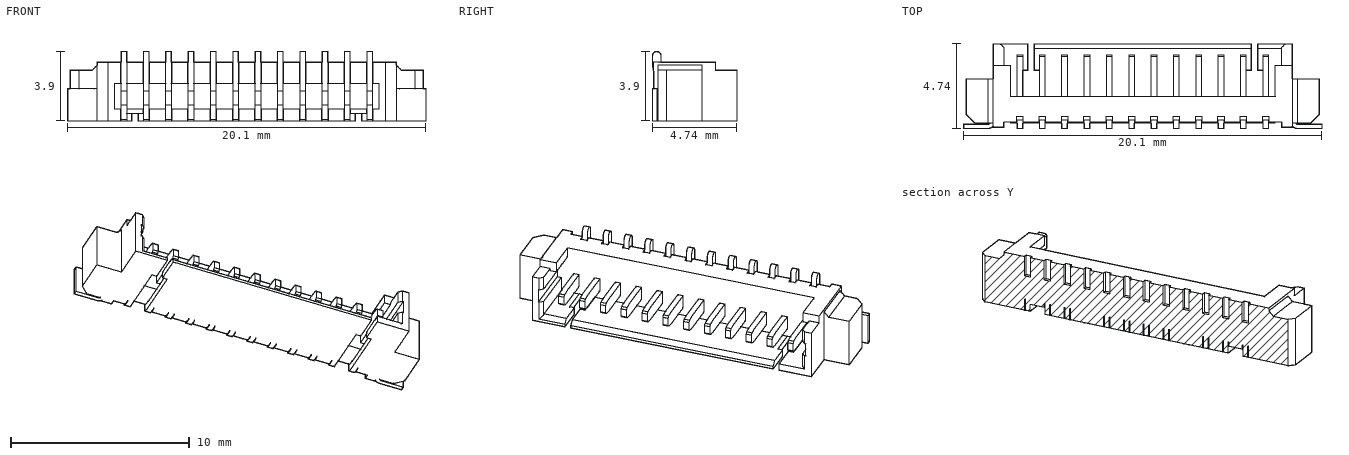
import cadquery as cq
import math

height = 3.9
depth = 4.74
overall_width = 20.05

housing_half_width = 8.37
housing_height = 3.3
housing_front = 0.36
wall_back = 1.8
cavity_half_width = 7.4
floor_thickness = 0.42

tall_wall_back = 3.54
low_wall_height = 2.85
low_wall_thickness = 0.6
low_wall_corner_chamfer = 0.2
low_wall_inside = housing_half_width - low_wall_thickness
tall_lip_bottom = 2.71
groove_bottom = 1.27
groove_top = 2.08
groove_depth = 0.25
corner_ridge_front = 0.07

band_half_width = cavity_half_width
band_front = 0.31
band_bottom = 0.67
band_top = 2.12
floor_edge_chamfer = 0.25

contact_count = 12
pitch = 1.25
contact_width = 0.32
head_back = 0.485
head_radius = head_back / 2
head_bottom = 3.1
neck_front = 0.17
neck_top = 2.22
beam_top = 1.69
beam_bottom = 0.9
beam_nose_radius = 0.11
beam_root_radius = 0.05
foot_chamfer = 0.1
slot_width = 0.37
slot_back = 0.67
prong_tip = 4.13
prong_tip_chamfer = 0.1
prong_taper_start = 3.66
prong_taper_drop = 0.06

opening_centre = (contact_count / 2 - 1) * pitch
window_width = pitch - contact_width
window_back = 3.26
gap_width = 0.35

wing_half_width = 9.88
wing_front = 0.31
wing_back = 2.78
wing_height = 2.85
wing_corner_chamfer = 0.48
wing_root_chamfer = 0.28
wing_root_overlap = 0.2

tab_height = 1.82
tab_thickness = 0.25
tab_bend_start = 8.67
tab_bend_radius = 0.4


def box(x_min, x_max, y_min, y_max, z_min, z_max):
    size = (x_max - x_min, y_max - y_min, z_max - z_min)
    return cq.Workplane("XY").box(*size, centered=False).translate((x_min, y_min, z_min))


def both_sides(solid):
    """The solid on the -X side together with its mirror image."""
    return solid.union(solid.mirror("YZ"))


def make_floor_edge_cut():
    """Rear edge chamfer of the floor, from the -X gap to the +X low wall and under its corner."""
    start = -opening_centre + gap_width / 2
    end = low_wall_inside + low_wall_corner_chamfer
    return (
        cq.Workplane("YZ", origin=(start, 0, 0))
        .moveTo(depth - floor_edge_chamfer, floor_thickness)
        .lineTo(depth, floor_thickness)
        .lineTo(depth, floor_thickness - floor_edge_chamfer)
        .close()
        .extrude(end - start)
    )


def make_housing_core():
    """Front wall with its raised band, and the floor with its chamfered rear edge."""
    wall = box(-housing_half_width, housing_half_width, housing_front, wall_back, 0, housing_height)
    band = box(-band_half_width, band_half_width, band_front, wall_back, band_bottom, band_top)
    floor = box(-housing_half_width, housing_half_width, housing_front, depth, 0, floor_thickness)
    return wall.union(band).union(floor.cut(make_floor_edge_cut()))


def make_side_walls():
    upper = box(-housing_half_width, -low_wall_inside, wall_back, tall_wall_back, 0, housing_height)
    lip = box(-low_wall_inside, -cavity_half_width, wall_back, tall_wall_back, tall_lip_bottom, housing_height)
    lower = box(-housing_half_width, -low_wall_inside, wall_back, depth, 0, low_wall_height)
    lower = lower.edges("|Z and >X and >Y").chamfer(low_wall_corner_chamfer)
    groove_inside = low_wall_inside + groove_depth
    groove = box(-groove_inside, -low_wall_inside, wall_back, depth, groove_bottom, groove_top)
    ridge = box(-housing_half_width, -low_wall_inside, corner_ridge_front, wall_back, 0, housing_height)
    return both_sides(upper.union(lower).cut(groove).union(lip).union(ridge))


def make_floor_openings():
    window = box(-window_width / 2, window_width / 2, 0, window_back, 0, floor_thickness)
    gap = box(-gap_width / 2, gap_width / 2, 0, depth, 0, floor_thickness)
    return both_sides(window.union(gap).translate((-opening_centre, 0, 0)))


def make_contact_slots():
    """Clearance for one contact above and below the front band."""
    upper = box(-slot_width / 2, slot_width / 2, 0, slot_back, band_top, housing_height)
    lower = box(-slot_width / 2, slot_width / 2, 0, slot_back, 0, band_bottom)
    return upper.union(lower)


def contact_plane():
    return cq.Workplane("YZ", origin=(-contact_width / 2, 0, 0))


def make_contact():
    post = (
        contact_plane()
        .moveTo(0, height - head_radius)
        .threePointArc((head_radius, height), (head_back, height - head_radius))
        .lineTo(head_back, beam_bottom)
        .lineTo(slot_back, beam_bottom)
        .lineTo(slot_back, 0)
        .lineTo(neck_front + foot_chamfer, 0)
        .lineTo(neck_front, foot_chamfer)
        .lineTo(neck_front, neck_top)
        .lineTo(0, head_bottom)
        .close()
        .extrude(contact_width)
    )

    taper_top = beam_top - prong_taper_drop
    taper_bottom = beam_bottom + prong_taper_drop
    chamfer_start = prong_tip - prong_tip_chamfer
    beam_outline = [
        (0, beam_top),
        (prong_taper_start, beam_top),
        (chamfer_start, taper_top),
        (prong_tip, taper_top - prong_tip_chamfer),
        (prong_tip, taper_bottom + prong_tip_chamfer),
        (chamfer_start, taper_bottom),
        (prong_taper_start, beam_bottom),
        (0, beam_bottom),
    ]
    beam = contact_plane().polyline(beam_outline).close().extrude(contact_width)
    beam = beam.edges("|X and <Y").fillet(beam_nose_radius)

    contact = post.union(beam)
    for z in (beam_bottom, beam_top):
        root_edge = cq.selectors.NearestToPointSelector((0, neck_front, z))
        contact = contact.edges(root_edge).fillet(beam_root_radius)
    return contact


def make_wings():
    root = housing_half_width - wing_root_overlap
    wing = box(-wing_half_width, -root, wing_front, wing_back, 0, wing_height)
    wing = wing.edges("|Z and <X and <Y").chamfer(wing_corner_chamfer)
    gusset = (
        cq.Workplane("XZ", origin=(0, wing_front, 0))
        .moveTo(-housing_half_width - wing_root_chamfer, wing_height)
        .lineTo(-housing_half_width, wing_height + wing_root_chamfer)
        .lineTo(-root, wing_height)
        .close()
        .extrude(wing_front - wing_back)
    )
    return both_sides(wing.union(gusset))


def make_solder_tabs():
    """Flat tabs, each bent by a quarter turn into the root of its wing."""
    inner_radius = tab_bend_radius - tab_thickness
    diagonal = math.sqrt(0.5)
    outer_middle = (-tab_bend_start + tab_bend_radius * diagonal, tab_bend_radius * (1 - diagonal))
    inner_middle = (-tab_bend_start + inner_radius * diagonal, tab_bend_radius - inner_radius * diagonal)
    tab = (
        cq.Workplane("XY")
        .moveTo(-overall_width / 2, 0)
        .lineTo(-tab_bend_start, 0)
        .threePointArc(outer_middle, (-tab_bend_start + tab_bend_radius, tab_bend_radius))
        .lineTo(-tab_bend_start + inner_radius, tab_bend_radius)
        .threePointArc(inner_middle, (-tab_bend_start, tab_thickness))
        .lineTo(-overall_width / 2, tab_thickness)
        .close()
        .extrude(tab_height)
    )
    return both_sides(tab)


result = make_housing_core().union(make_side_walls()).cut(make_floor_openings())
result = result.union(make_wings()).union(make_solder_tabs())

contact_positions = [(i - (contact_count - 1) / 2) * pitch for i in range(contact_count)]
for x in contact_positions:
    result = result.cut(make_contact_slots().translate((x, 0, 0)))
for x in contact_positions:
    result = result.union(make_contact().translate((x, 0, 0)))